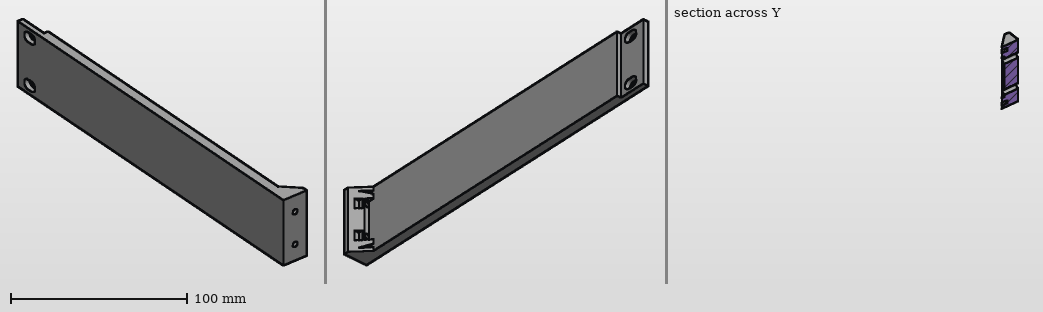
import cadquery as cq

length = 242.5
height = 44.0
depth = 17.0
plate_thickness = 6.8
ear_thickness = 4.0
ear_length = 19.2

flange_thickness = 3.5
flange_x = length - flange_thickness
slope_foot_x = flange_x - (depth - plate_thickness)

slot_x = 11.0
slot_length = 9.7
slot_height = 6.5
slot_spacing = 31.8

screw_diameter = 3.5
screw_spacing = 21.8
screw_y = plate_thickness + screw_diameter / 2

seat_width = 6.5
seat_depth = 3.6
pocket_height = 6.5
pocket_bottom_y = 11.2
pocket_top_y = 14.3
notch_top_y = 12.5
notch_outer_z = 19.5
notch_inner_z = 17.0


def slope_x(y):
    """X of the sloped face at the given Y."""
    return slope_foot_x + y - plate_thickness


def above_plate(x_end):
    """Space behind the plate, from the foot of the slope to x_end."""
    return cq.Workplane("XY").box(
        x_end - slope_foot_x, depth, height, centered=(False, False, True)
    ).translate((slope_foot_x, plate_thickness, 0))


def make_body():
    return (
        cq.Workplane("XY")
        .moveTo(0, 0)
        .lineTo(length, 0)
        .lineTo(length, depth)
        .lineTo(flange_x, depth)
        .lineTo(slope_foot_x, plate_thickness)
        .lineTo(ear_length, plate_thickness)
        .lineTo(ear_length, ear_thickness)
        .lineTo(0, ear_thickness)
        .close()
        .extrude(height / 2, both=True)
    )


def make_rack_slots():
    return (
        cq.Workplane("XZ")
        .pushPoints([(slot_x, side * slot_spacing / 2) for side in (-1, 1)])
        .slot2D(slot_length, slot_height)
        .extrude(-depth)
    )


def make_screw_holes():
    return (
        cq.Workplane("YZ", origin=(slope_foot_x, 0, 0))
        .pushPoints([(screw_y, side * screw_spacing / 2) for side in (-1, 1)])
        .circle(screw_diameter / 2)
        .extrude(length - slope_foot_x)
    )


def make_screw_seat():
    """Rounded recess around both screw holes, kept clear of the plate."""
    recess = (
        cq.Workplane("YZ", origin=(slope_foot_x, 0, 0))
        .center(screw_y, 0)
        .slot2D(screw_spacing + seat_width, seat_width, 90)
        .extrude(seat_depth)
    )
    return recess.intersect(above_plate(slope_foot_x + seat_depth))


def make_nut_pocket(side):
    """Rectangular pocket whose floor meets the slope at its upper edge."""
    return (
        cq.Workplane("YZ", origin=(slope_foot_x, 0, 0))
        .center((pocket_bottom_y + pocket_top_y) / 2, side * screw_spacing / 2)
        .rect(pocket_top_y - pocket_bottom_y, pocket_height)
        .extrude(slope_x(pocket_top_y) - slope_foot_x)
    )


def make_corner_notch(side):
    """Narrow triangular notch that tapers up the slope."""
    return (
        cq.Workplane("YZ", origin=(slope_foot_x, 0, 0))
        .moveTo(plate_thickness, side * notch_inner_z)
        .lineTo(plate_thickness, side * notch_outer_z)
        .lineTo(notch_top_y, side * notch_outer_z)
        .close()
        .extrude(slope_x(notch_top_y) - slope_foot_x)
    )


result = make_body().cut(make_rack_slots()).cut(make_screw_holes()).cut(make_screw_seat())
for side in (-1, 1):
    result = result.cut(make_nut_pocket(side)).cut(make_corner_notch(side))